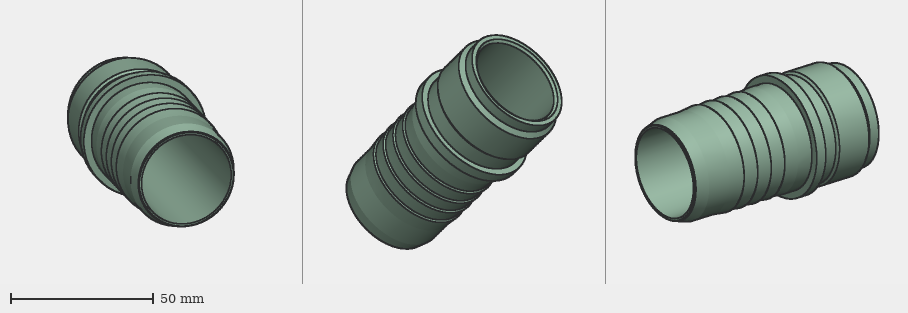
import cadquery as cq

length = 80.0
bore_diameter = 33.0
mouth_diameter = 34.9
mouth_depth = (mouth_diameter - bore_diameter) / 2

spigot_diameter = 38.5
spigot_end = 4.0
seat_diameter = 41.9
seat_lead_in = (seat_diameter - spigot_diameter) / 2
seat_end = 18.7
neck_diameter = 40.0
seat_back_chamfer = (seat_diameter - neck_diameter) / 2

flange_diameter = 45.0
flange_start = 26.0
flange_end = 30.0

crest_diameter = 39.4
root_diameter = 38.0
barb_start = 36.0
barb_pitch = 6.0
barb_count = 4
barb_rise = 0.6
root_land = 0.3
nose_start = 75.0
tip_diameter = 34.6
tip_chamfer = 0.3


def barb_points():
    """Sawtooth stretch: a falling cone, a short land, then a steep rise to each crest."""
    points = [(barb_start, crest_diameter / 2)]
    for index in range(1, barb_count + 1):
        crest_x = barb_start + index * barb_pitch
        rise_x = crest_x - barb_rise
        points.append((rise_x - root_land, root_diameter / 2))
        points.append((rise_x, root_diameter / 2))
        points.append((crest_x, crest_diameter / 2))
    last_cone_end = barb_start + (barb_count + 1) * barb_pitch
    points.append((last_cone_end, root_diameter / 2))
    return points


def sleeve_profile():
    """Half section of the outside, as (x, radius) points closed along the axis."""
    fitting_end = [
        (0, 0),
        (0, spigot_diameter / 2),
        (spigot_end, spigot_diameter / 2),
        (spigot_end + seat_lead_in, seat_diameter / 2),
        (seat_end, seat_diameter / 2),
        (seat_end + seat_back_chamfer, neck_diameter / 2),
        (flange_start, neck_diameter / 2),
    ]
    flange = [
        (flange_start, flange_diameter / 2),
        (flange_end, flange_diameter / 2),
        (flange_end, crest_diameter / 2),
    ]
    nose = [
        (nose_start, root_diameter / 2),
        (length - tip_chamfer, tip_diameter / 2 + tip_chamfer),
        (length, tip_diameter / 2),
        (length, 0),
    ]
    return cq.Workplane("XY").polyline(fitting_end + flange + barb_points() + nose).close()


def bore():
    """Through bore, chamfered at the fitting end."""
    return (
        cq.Workplane("XY")
        .polyline([
            (0, 0),
            (0, mouth_diameter / 2),
            (mouth_depth, bore_diameter / 2),
            (length, bore_diameter / 2),
            (length, 0),
        ])
        .close()
        .revolve(360, (0, 0, 0), (1, 0, 0))
    )


sleeve = sleeve_profile().revolve(360, (0, 0, 0), (1, 0, 0))
result = sleeve.cut(bore())